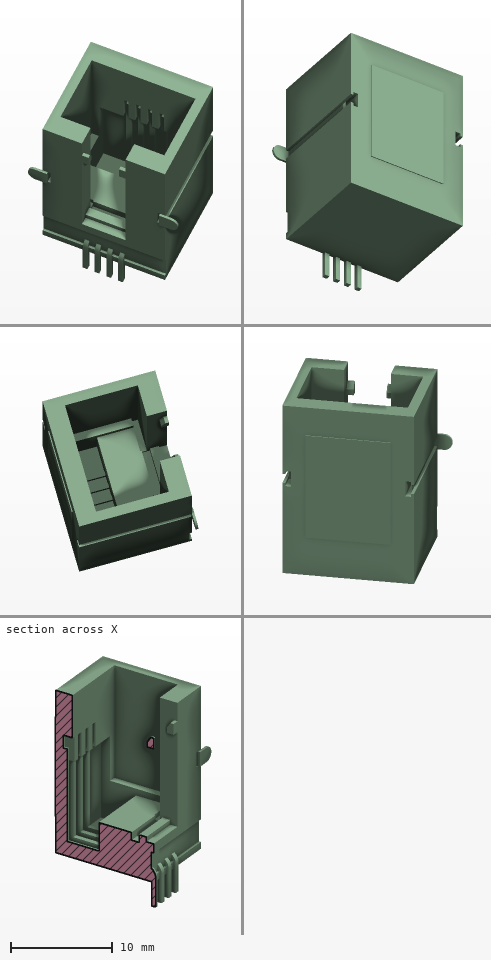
import cadquery as cq


BODY_WIDTH = 13.2
OVERALL_WIDTH = 16.16
OVERALL_HEIGHT = 20.78
BODY_DEPTH = 11.5
BODY_HEIGHT = 18.1
HALF_WIDTH = BODY_WIDTH / 2

CAVITY_HALF_WIDTH = 5.6
CAVITY_FRONT = 2.06
CAVITY_BACK = 9.5
SIDE_LEDGE_Z = 5.6
FLOOR_HALF_WIDTH = 4.83
FLOOR_FRONT = 2.74
FLOOR_Z = 4.85

LATCH_HALF_WIDTH = 2.35
LATCH_FLOOR_Z = 4.32
LATCH_STEP_Y = 0.84
LATCH_GROOVE_FRONT = 1.75
LATCH_GROOVE_BACK = 2.59
LATCH_GROOVE_Z = 4.0

TOOTH_REACH = 0.7
TOOTH_BOTTOM = 14.84
TOOTH_TOP = 16.06
TOOTH_DEPTH = 0.77
TOOTH_CHAMFER_Y = 0.4
TOOTH_CHAMFER_Z = 0.62

CONTACT_COUNT = 4
CONTACT_PITCH = 1.27
CONTACT_SIZE = 0.5
CONTACT_TOP = 11.95
LEAD_BOTTOM = BODY_HEIGHT - OVERALL_HEIGHT
BEND_CENTER_Z = 0.61
BEND_OUTER_RADIUS = 1.08
BEND_INNER_RADIUS = BEND_OUTER_RADIUS - CONTACT_SIZE
CHAMBER_FRONT = 6.45
CHAMBER_BACK = 10.6
CHAMBER_TOP = 10.58
CHAMBER_FLOOR = BEND_CENTER_Z + BEND_INNER_RADIUS
COMB_SLOT_WIDTH = 0.58
COMB_SLOT_TOP = 13.32

RECESS_BOTTOM = 0.76
RECESS_TOP = 3.27
RECESS_DEPTH = 0.25

CLIP_Z = 10.23
CLIP_HEIGHT = 1.62
CLIP_THICKNESS = 0.25
CLIP_INNER_X = 6.05
CLIP_BACK = 9.76
CLIP_TIP_X = OVERALL_WIDTH / 2
CLIP_SLOT_INNER_X = 5.75
CLIP_OPENING_HEIGHT = 0.98

PAD_HALF_WIDTH = 4.26
PAD_BOTTOM = 4.09
PAD_TOP = 15.1
PAD_THICKNESS = 0.1


def block(x_range, y_range, z_range):
    """Axis-aligned block spanning the given (low, high) ranges."""
    (x0, x1), (y0, y1), (z0, z1) = x_range, y_range, z_range
    return cq.Workplane("XY").box(x1 - x0, y1 - y0, z1 - z0, centered=False).translate((x0, y0, z0))


def centered_block(half_width, y_range, z_range):
    """Block that is symmetric about x = 0."""
    return block((-half_width, half_width), y_range, z_range)


def both_sides(solid):
    """The solid together with its mirror image across x = 0."""
    return solid.union(solid.mirror("YZ"))


def contact_positions():
    middle = (CONTACT_COUNT - 1) / 2
    return [(index - middle) * CONTACT_PITCH for index in range(CONTACT_COUNT)]


def cut_plug_cavity(body):
    opening = centered_block(CAVITY_HALF_WIDTH, (CAVITY_FRONT, CAVITY_BACK), (SIDE_LEDGE_Z, BODY_HEIGHT))
    well = centered_block(FLOOR_HALF_WIDTH, (FLOOR_FRONT, CAVITY_BACK), (FLOOR_Z, BODY_HEIGHT))
    trough = centered_block(CAVITY_HALF_WIDTH, (CAVITY_FRONT, FLOOR_FRONT), (LATCH_FLOOR_Z, BODY_HEIGHT))
    floor_tongue = centered_block(
        LATCH_HALF_WIDTH, (LATCH_GROOVE_BACK, FLOOR_FRONT), (LATCH_FLOOR_Z, FLOOR_Z)
    )
    return body.cut(opening).cut(well).cut(trough.cut(floor_tongue))


def cut_latch_slot(body):
    slot = centered_block(LATCH_HALF_WIDTH, (0, LATCH_GROOVE_BACK), (FLOOR_Z, BODY_HEIGHT))
    entry = centered_block(LATCH_HALF_WIDTH, (0, LATCH_STEP_Y), (LATCH_FLOOR_Z, FLOOR_Z))
    groove = centered_block(
        LATCH_HALF_WIDTH, (LATCH_GROOVE_FRONT, LATCH_GROOVE_BACK), (LATCH_GROOVE_Z, FLOOR_Z)
    )
    return body.cut(slot).cut(entry).cut(groove)


def latch_teeth():
    """Teeth flush with the front face, with the upper back edge bevelled."""
    profile = [
        (0, TOOTH_BOTTOM),
        (TOOTH_DEPTH, TOOTH_BOTTOM),
        (TOOTH_DEPTH, TOOTH_TOP - TOOTH_CHAMFER_Z),
        (TOOTH_DEPTH - TOOTH_CHAMFER_Y, TOOTH_TOP),
        (0, TOOTH_TOP),
    ]
    tooth = cq.Workplane("YZ").polyline(profile).close().extrude(TOOTH_REACH)
    return both_sides(tooth.translate((LATCH_HALF_WIDTH - TOOTH_REACH, 0, 0)))


def cut_contact_chamber(body):
    """Pit behind the cavity floor, undercutting the back wall, with comb slots above it."""
    pit = centered_block(FLOOR_HALF_WIDTH, (CHAMBER_FRONT, CAVITY_BACK), (CHAMBER_FLOOR, FLOOR_Z))
    undercut = centered_block(FLOOR_HALF_WIDTH, (CAVITY_BACK, CHAMBER_BACK), (CHAMBER_FLOOR, CHAMBER_TOP))
    body = body.cut(pit).cut(undercut)
    comb_slot = centered_block(COMB_SLOT_WIDTH / 2, (CAVITY_BACK, CHAMBER_BACK), (CHAMBER_TOP, COMB_SLOT_TOP))
    for x in contact_positions():
        body = body.cut(comb_slot.translate((x, 0, 0)))
    return body


def contact():
    """Square wire: lead straight down, bend into the housing, run back and rise in the chamber."""
    front = -CONTACT_SIZE / 2
    bend_y = front + BEND_OUTER_RADIUS
    run_top = BEND_CENTER_Z + BEND_OUTER_RADIUS
    wire = (
        cq.Workplane("YZ")
        .moveTo(front, LEAD_BOTTOM)
        .lineTo(front, BEND_CENTER_Z)
        .radiusArc((bend_y, run_top), BEND_OUTER_RADIUS)
        .lineTo(CHAMBER_BACK - CONTACT_SIZE, run_top)
        .lineTo(CHAMBER_BACK - CONTACT_SIZE, CONTACT_TOP)
        .lineTo(CHAMBER_BACK, CONTACT_TOP)
        .lineTo(CHAMBER_BACK, CHAMBER_FLOOR)
        .lineTo(bend_y, CHAMBER_FLOOR)
        .radiusArc((front + CONTACT_SIZE, BEND_CENTER_Z), -BEND_INNER_RADIUS)
        .lineTo(front + CONTACT_SIZE, LEAD_BOTTOM)
        .close()
    )
    return wire.extrude(CONTACT_SIZE / 2, both=True)


def cut_front_recess(body):
    return body.cut(centered_block(HALF_WIDTH, (0, RECESS_DEPTH), (RECESS_BOTTOM, RECESS_TOP)))


def cut_clip_slots(body):
    """Clip slots running front to back, each with a lower opening in the side face."""
    slot_z = (CLIP_Z - CLIP_HEIGHT / 2, CLIP_Z + CLIP_HEIGHT / 2)
    opening_z = (CLIP_Z - CLIP_OPENING_HEIGHT / 2, CLIP_Z + CLIP_OPENING_HEIGHT / 2)
    slot = block((CLIP_SLOT_INNER_X, CLIP_INNER_X + CLIP_THICKNESS), (0, BODY_DEPTH), slot_z)
    opening = block((CLIP_SLOT_INNER_X, HALF_WIDTH), (0, BODY_DEPTH), opening_z)
    return body.cut(both_sides(slot.union(opening)))


def clips():
    """L-shaped clips: a strip in each slot and a round-ended tab folded out at the front."""
    radius = CLIP_HEIGHT / 2
    round_x = CLIP_TIP_X - radius
    tab = (
        cq.Workplane("XZ")
        .moveTo(CLIP_INNER_X, CLIP_Z - radius)
        .lineTo(round_x, CLIP_Z - radius)
        .threePointArc((CLIP_TIP_X, CLIP_Z), (round_x, CLIP_Z + radius))
        .lineTo(CLIP_INNER_X, CLIP_Z + radius)
        .close()
        .extrude(CLIP_THICKNESS)
    )
    strip = block(
        (CLIP_INNER_X, CLIP_INNER_X + CLIP_THICKNESS),
        (-CLIP_THICKNESS, CLIP_BACK),
        (CLIP_Z - radius, CLIP_Z + radius),
    )
    return both_sides(tab.union(strip))


def back_pad():
    return centered_block(PAD_HALF_WIDTH, (BODY_DEPTH, BODY_DEPTH + PAD_THICKNESS), (PAD_BOTTOM, PAD_TOP))


housing = centered_block(HALF_WIDTH, (0, BODY_DEPTH), (0, BODY_HEIGHT))
housing = cut_plug_cavity(housing)
housing = cut_latch_slot(housing)
housing = cut_contact_chamber(housing)
housing = cut_front_recess(housing)
housing = cut_clip_slots(housing)

jack = housing.union(latch_teeth()).union(clips()).union(back_pad())
for contact_x in contact_positions():
    jack = jack.union(contact().translate((contact_x, 0, 0)))

result = jack